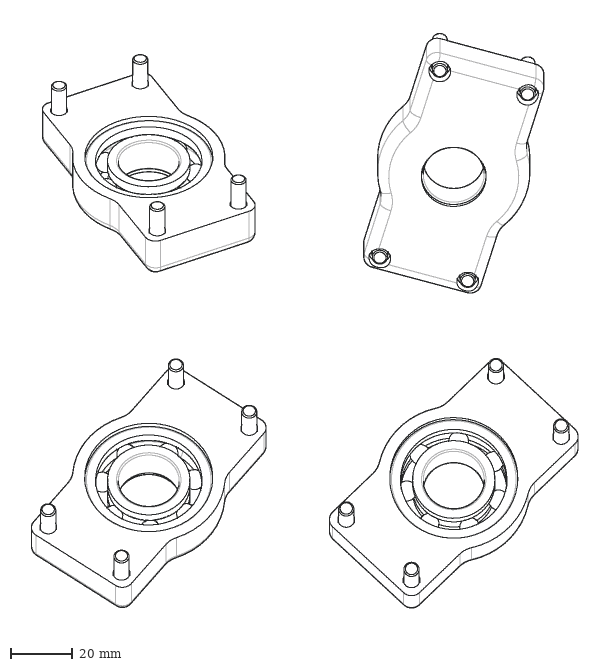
import cadquery as cq
import math

length = 80.0
width = 40.0
height = 15.0
corner_radius = 3.7
boss_diameter = 50.0
boss_blend_radius = 8.0
bottom_fillet = 3.7

boss_radius = boss_diameter / 2

bearing_diameter = 42.0
bearing_bore = 20.0
bearing_width = 12.0
bearing_recess = 1.5
outer_race_diameter = 34.9
inner_race_diameter = 27.0
ring_fillet = 0.6
ball_count = 7
ball_radius = 3.3
first_ball_angle = -90.0
ball_seat_depth = 0.1

bearing_bottom = height - bearing_recess - bearing_width
ball_circle_radius = (outer_race_diameter + inner_race_diameter) / 4
ball_height = bearing_bottom + bearing_width / 2
groove_radius = ball_radius - ball_seat_depth

floor_opening_diameter = 21.2

pin_diameter = 5.0
pin_length = 25.0
pin_top = 25.7
pin_chamfer = 0.5
pin_hole_diameter = 5.5
counterbore_diameter = 7.0
counterbore_depth = pin_diameter
pin_spacing_x = 70.0
pin_spacing_y = 30.0

pin_bottom = pin_top - pin_length
pin_x = pin_spacing_x / 2
pin_y = pin_spacing_y / 2
pin_places = [(x, y) for x in (-pin_x, pin_x) for y in (-pin_y, pin_y)]


def cylinder(diameter, bottom, cylinder_height):
    return cq.Workplane("XY").workplane(offset=bottom).circle(diameter / 2).extrude(cylinder_height)


def make_boss():
    """Boss with a hollow blend arc running out into each long side of the block."""
    side_y = width / 2
    blend_y = side_y + boss_blend_radius
    blend_x = math.sqrt((boss_radius + boss_blend_radius) ** 2 - blend_y**2)
    tangent_ratio = boss_radius / (boss_radius + boss_blend_radius)
    tangent_x = blend_x * tangent_ratio
    tangent_y = blend_y * tangent_ratio
    middle_angle = (math.atan2(-blend_y, -blend_x) - math.pi / 2) / 2
    middle_x = blend_x + boss_blend_radius * math.cos(middle_angle)
    middle_y = blend_y + boss_blend_radius * math.sin(middle_angle)
    outline = (
        cq.Workplane("XY")
        .moveTo(blend_x, side_y)
        .threePointArc((middle_x, middle_y), (tangent_x, tangent_y))
        .threePointArc((0, boss_radius), (-tangent_x, tangent_y))
        .threePointArc((-middle_x, middle_y), (-blend_x, side_y))
        .lineTo(-blend_x, -side_y)
        .threePointArc((-middle_x, -middle_y), (-tangent_x, -tangent_y))
        .threePointArc((0, -boss_radius), (tangent_x, -tangent_y))
        .threePointArc((middle_x, -middle_y), (blend_x, -side_y))
        .close()
    )
    return outline.extrude(height)


def make_housing():
    block = cq.Workplane("XY").rect(length, width).extrude(height).edges("|Z").fillet(corner_radius)
    body = block.union(make_boss()).faces("<Z").edges().fillet(bottom_fillet)
    bearing_seat = cylinder(bearing_diameter, bearing_bottom, height - bearing_bottom)
    floor_opening = cylinder(floor_opening_diameter, 0, height)
    body = body.cut(bearing_seat).cut(floor_opening)
    for x, y in pin_places:
        pin_hole = cylinder(pin_hole_diameter, 0, height)
        counterbore = cylinder(counterbore_diameter, 0, counterbore_depth)
        body = body.cut(pin_hole.union(counterbore).translate((x, y, 0)))
    return body


def make_ring(outer_diameter, inner_diameter):
    ring = cylinder(outer_diameter, bearing_bottom, bearing_width)
    return ring.cut(cylinder(inner_diameter, bearing_bottom, bearing_width))


def make_bearing():
    outer_ring = make_ring(bearing_diameter, outer_race_diameter)
    outer_ring = outer_ring.edges(cq.selectors.RadiusNthSelector(-1)).fillet(ring_fillet)
    inner_ring = make_ring(inner_race_diameter, bearing_bore)
    inner_ring = inner_ring.edges(cq.selectors.RadiusNthSelector(0)).fillet(ring_fillet)
    groove = cq.Workplane(
        cq.Solid.makeTorus(ball_circle_radius, groove_radius, cq.Vector(0, 0, ball_height))
    )
    bearing = outer_ring.union(inner_ring).cut(groove)
    for index in range(ball_count):
        angle = math.radians(first_ball_angle + index * 360 / ball_count)
        place = (ball_circle_radius * math.cos(angle), ball_circle_radius * math.sin(angle), ball_height)
        bearing = bearing.union(cq.Workplane("XY").sphere(ball_radius).translate(place))
    return bearing


def make_pin(x, y):
    return cylinder(pin_diameter, pin_bottom, pin_length).edges().chamfer(pin_chamfer).translate((x, y, 0))


housing = make_housing()
bearing = make_bearing()
pins = [make_pin(x, y) for x, y in pin_places]

result = cq.Compound.makeCompound(
    [housing.solids().val(), bearing.solids().val(), *[pin.solids().val() for pin in pins]]
)